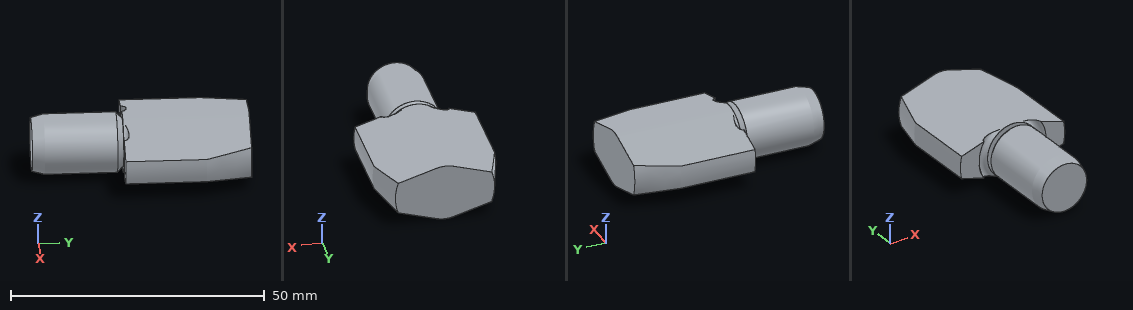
import cadquery as cq
import math

total_length = 43.0
body_length = 25.0
body_radius = 12.45
shank_radius = 6.0
flank_angle = 17.0
taper_angle = 15.0
taper_length = 9.0
tip_length = 2.5
neck_chamfer = 1.2
groove_outer_radius = 8.0

shank_length = total_length - body_length
body_front = -total_length / 2 + shank_length
body_back = total_length / 2
taper_slope = math.tan(math.radians(taper_angle))


def revolve_about_y(points):
    """Turn a closed (radius, y) outline about the Y axis."""
    return cq.Workplane("XY").polyline(points).close().revolve(360, (0, 0, 0), (0, 1, 0))


def make_body():
    """Crowned diamond section, trimmed by a cylinder with a tapered far end."""
    angle = math.radians(flank_angle)
    tangent_x = shank_radius * math.sin(angle)
    tangent_z = shank_radius * math.cos(angle)
    point_x = shank_radius / math.sin(angle)
    section = (
        cq.Workplane("XZ", origin=(0, body_back, 0))
        .moveTo(-tangent_x, tangent_z)
        .threePointArc((0, shank_radius), (tangent_x, tangent_z))
        .lineTo(point_x, 0)
        .lineTo(tangent_x, -tangent_z)
        .threePointArc((0, -shank_radius), (-tangent_x, -tangent_z))
        .lineTo(-point_x, 0)
        .close()
        .extrude(body_length)
    )
    envelope = revolve_about_y([
        (0, body_front),
        (body_radius, body_front),
        (body_radius, body_back - taper_length),
        (body_radius - taper_length * taper_slope, body_back),
        (0, body_back),
    ])
    return section.intersect(envelope)


def make_groove():
    """Half-round ring groove in the body face, just outside the shank."""
    groove_radius = (groove_outer_radius - shank_radius) / 2
    return (
        cq.Workplane("XY")
        .center(shank_radius + groove_radius, body_front)
        .circle(groove_radius)
        .revolve(360, (-shank_radius - groove_radius, 0, 0), (-shank_radius - groove_radius, 1, 0))
    )


def make_shank():
    """Round shank with a tapered tip and a chamfered neck."""
    tip_end = body_front - shank_length
    return revolve_about_y([
        (0, tip_end),
        (shank_radius - tip_length * taper_slope, tip_end),
        (shank_radius, tip_end + tip_length),
        (shank_radius, body_front - neck_chamfer),
        (shank_radius - neck_chamfer, body_front),
        (0, body_front),
    ])


result = make_body().cut(make_groove()).union(make_shank())